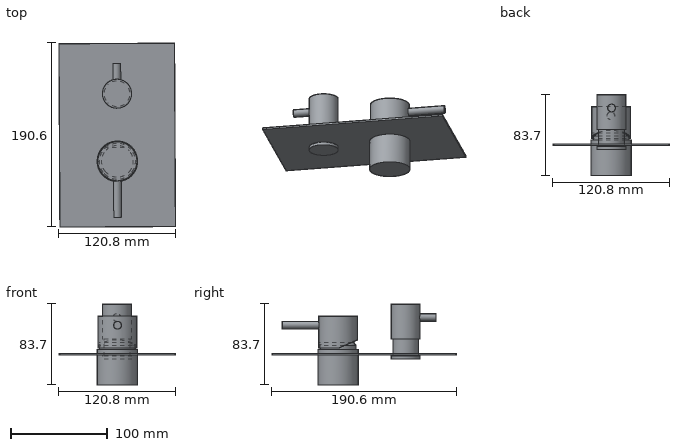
import cadquery as cq
import math


PLATE_WIDTH = 119.8
PLATE_LENGTH = 190.0
PLATE_THICKNESS = 2.0
ASSEMBLY_TILT = 0.3

DIVERTER_Y = 42.9
MIXER_Y = -27.0

LEVER_RADIUS = 4.0

STEM_RADIUS = 13.3
FLANGE_RADIUS = 15.0
FLANGE_TOP = -0.8
FLANGE_BOTTOM = -4.0
DIVERTER_KNOB_RADIUS = FLANGE_RADIUS
DIVERTER_KNOB_BOTTOM = 16.5
DIVERTER_KNOB_TOP = 52.8
DIVERTER_LEVER_Z = 39.0
DIVERTER_LEVER_REACH = 31.5

SLEEVE_RADIUS = 21.0
SLEEVE_BOTTOM = -30.9
SLEEVE_TOP = 6.1
CARTRIDGE_RADIUS = 18.7
CARTRIDGE_TOP = 13.3
CARTRIDGE_CHAMFER_WIDTH = 2.3
CARTRIDGE_CHAMFER_HEIGHT = 3.5
MIXER_KNOB_RADIUS = 20.2
MIXER_KNOB_BOTTOM = 7.2
MIXER_KNOB_TOP = 40.4
MIXER_LEVER_Z = 31.0
MIXER_LEVER_REACH = 58.0
RELIEF_ANGLE = 23.0


def upright_cylinder(radius, y, bottom, top):
    """Cylinder along Z on the plate centreline."""
    return cq.Workplane("XY", origin=(0, y, bottom)).circle(radius).extrude(top - bottom)


def lever_rod(y, z, reach, direction):
    """Rod from a knob axis outwards, with direction +1 towards +Y and -1 towards -Y."""
    return cq.Workplane("XZ", origin=(0, y, z)).circle(LEVER_RADIUS).extrude(-direction * reach)


def make_plate():
    plate = cq.Workplane("XY").rect(PLATE_WIDTH, PLATE_LENGTH).extrude(PLATE_THICKNESS)
    stem_hole = upright_cylinder(STEM_RADIUS, DIVERTER_Y, 0, PLATE_THICKNESS)
    sleeve_hole = upright_cylinder(SLEEVE_RADIUS, MIXER_Y, 0, PLATE_THICKNESS)
    return plate.cut(stem_hole).cut(sleeve_hole)


def make_diverter_stem():
    """Stem up to the knob, with a flange just below the plate."""
    stem = upright_cylinder(STEM_RADIUS, DIVERTER_Y, FLANGE_BOTTOM, DIVERTER_KNOB_BOTTOM)
    flange = upright_cylinder(FLANGE_RADIUS, DIVERTER_Y, FLANGE_BOTTOM, FLANGE_TOP)
    return stem.union(flange)


def make_diverter_knob():
    return upright_cylinder(DIVERTER_KNOB_RADIUS, DIVERTER_Y, DIVERTER_KNOB_BOTTOM, DIVERTER_KNOB_TOP)


def make_diverter_lever():
    """Rod whose inner end is shaped to the knob surface."""
    rod = lever_rod(DIVERTER_Y, DIVERTER_LEVER_Z, DIVERTER_LEVER_REACH, 1)
    return rod.cut(make_diverter_knob())


def make_mixer_sleeve():
    return upright_cylinder(SLEEVE_RADIUS, MIXER_Y, SLEEVE_BOTTOM, SLEEVE_TOP)


def make_mixer_cartridge():
    """Cartridge head on the sleeve, with a steep chamfer round its top."""
    chamfer_start = CARTRIDGE_TOP - CARTRIDGE_CHAMFER_HEIGHT
    profile = [
        (0, SLEEVE_TOP),
        (CARTRIDGE_RADIUS, SLEEVE_TOP),
        (CARTRIDGE_RADIUS, chamfer_start),
        (CARTRIDGE_RADIUS - CARTRIDGE_CHAMFER_WIDTH, CARTRIDGE_TOP),
        (0, CARTRIDGE_TOP),
    ]
    head = cq.Workplane("XZ").polyline(profile).close().revolve(360, (0, 0), (0, 1))
    return head.translate((0, MIXER_Y, 0))


def make_back_relief():
    """Wedge below a plane rising from the knob axis towards +Y."""
    run = 2 * MIXER_KNOB_RADIUS
    rise = run * math.tan(math.radians(RELIEF_ANGLE))
    return (
        cq.Workplane("YZ", origin=(0, MIXER_Y, MIXER_KNOB_BOTTOM))
        .polyline([(0, 0), (run, 0), (run, rise)])
        .close()
        .extrude(MIXER_KNOB_RADIUS, both=True)
    )


def make_mixer_knob():
    """Knob and lever in one piece, hollowed underneath to sit over the cartridge."""
    knob = upright_cylinder(MIXER_KNOB_RADIUS, MIXER_Y, MIXER_KNOB_BOTTOM, MIXER_KNOB_TOP)
    recess = upright_cylinder(CARTRIDGE_RADIUS, MIXER_Y, MIXER_KNOB_BOTTOM, CARTRIDGE_TOP)
    lever = lever_rod(MIXER_Y, MIXER_LEVER_Z, MIXER_LEVER_REACH, -1)
    return knob.cut(recess).cut(make_back_relief()).union(lever)


plate = make_plate()
diverter_stem = make_diverter_stem()
diverter_knob = make_diverter_knob()
diverter_lever = make_diverter_lever()
mixer_sleeve = make_mixer_sleeve()
mixer_cartridge = make_mixer_cartridge()
mixer_knob = make_mixer_knob()

bodies = [
    plate,
    diverter_stem,
    diverter_knob,
    diverter_lever,
    mixer_sleeve,
    mixer_cartridge,
    mixer_knob,
]
result = cq.Compound.makeCompound(
    [body.rotate((0, 0, 0), (0, 0, 1), ASSEMBLY_TILT).val() for body in bodies]
)